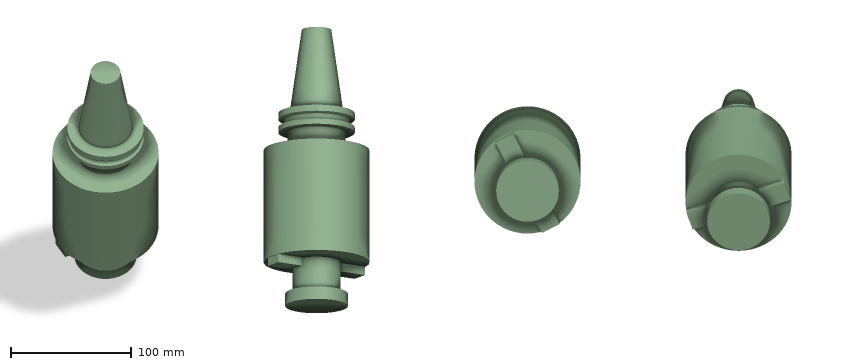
import cadquery as cq
import math

total_height = 235.5
body_diameter = 88.0

cap_top = 10.5
body_bottom = 37.5
body_top = 132.5
flange_bottom = 148.0
flange_top = 164.3
taper_bottom = 165.7

cap_diameter = 52.0
spigot_diameter = 40.0
neck_diameter = 48.0
neck_fillet = 1.0
flange_diameter = 63.5
taper_large_diameter = 44.5
taper_small_diameter = 24.7

groove_floor_diameter = 56.0
groove_lower_edge = 152.3
groove_floor_bottom = 154.2
groove_floor_top = 158.0
groove_upper_edge = 159.1

key_width = 16.2
key_span = 85.7
key_clearance = 0.2
key_height = 7.0


def cylinder(diameter, bottom, top):
    """Solid cylinder on the Z axis between two heights."""
    return cq.Workplane("XY").workplane(offset=bottom).circle(diameter / 2).extrude(top - bottom)


def neck():
    """Neck between body and flange, with a small concave fillet at each end."""
    radius = neck_diameter / 2
    flared = radius + neck_fillet
    arc_inset = neck_fillet * (1 - math.sqrt(0.5))
    lower_arc_middle = (radius + arc_inset, body_top + arc_inset)
    upper_arc_middle = (radius + arc_inset, flange_bottom - arc_inset)
    return (
        cq.Workplane("XZ")
        .moveTo(0, body_top)
        .lineTo(flared, body_top)
        .threePointArc(lower_arc_middle, (radius, body_top + neck_fillet))
        .lineTo(radius, flange_bottom - neck_fillet)
        .threePointArc(upper_arc_middle, (flared, flange_bottom))
        .lineTo(0, flange_bottom)
        .close()
        .revolve(360, (0, 0, 0), (0, 1, 0))
    )


def flange():
    """Flange with a gripper groove that has sloping sides."""
    rim = flange_diameter / 2
    floor = groove_floor_diameter / 2
    profile = [
        (0, flange_bottom),
        (rim, flange_bottom),
        (rim, groove_lower_edge),
        (floor, groove_floor_bottom),
        (floor, groove_floor_top),
        (rim, groove_upper_edge),
        (rim, flange_top),
        (0, flange_top),
    ]
    return cq.Workplane("XZ").polyline(profile).close().revolve(360, (0, 0, 0), (0, 1, 0))


def taper_shank():
    """Conical shank standing on a short cylindrical collar."""
    profile = [
        (0, flange_top),
        (taper_large_diameter / 2, flange_top),
        (taper_large_diameter / 2, taper_bottom),
        (taper_small_diameter / 2, total_height),
        (0, total_height),
    ]
    return cq.Workplane("XZ").polyline(profile).close().revolve(360, (0, 0, 0), (0, 1, 0))


def drive_keys():
    """Two opposite rectangular keys below the body, just clear of the spigot."""
    inner_end = spigot_diameter / 2 + key_clearance
    outer_end = key_span / 2
    return (
        cq.Workplane("XY")
        .workplane(offset=body_bottom - key_height)
        .pushPoints([(0, side * (inner_end + outer_end) / 2) for side in (-1, 1)])
        .rect(key_width, outer_end - inner_end)
        .extrude(key_height)
    )


cap = cylinder(cap_diameter, 0, cap_top)
spigot = cylinder(spigot_diameter, cap_top, body_bottom)
body = cylinder(body_diameter, body_bottom, body_top)

arbor = cap.union(spigot).union(body).union(drive_keys())
result = arbor.union(neck()).union(flange()).union(taper_shank())